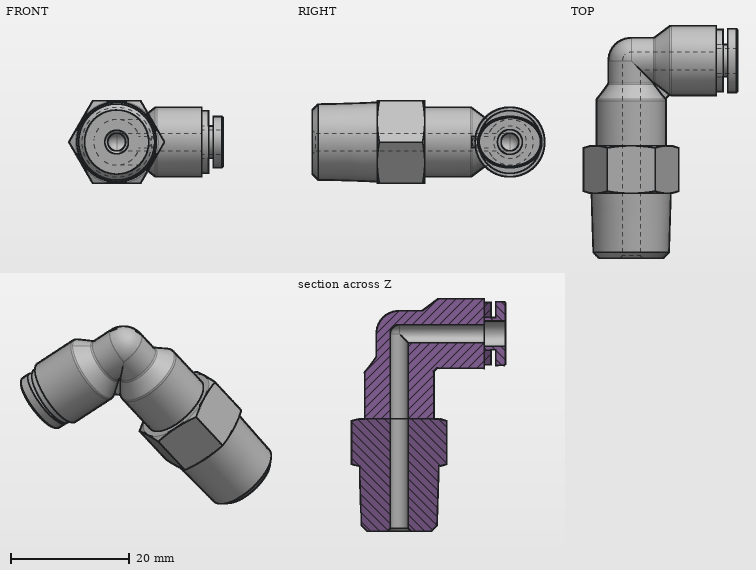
import cadquery as cq
import math


bore_diameter = 3.0
bore_countersink = 0.5
tube_diameter = 4.2

neck_diameter = 7.75
sleeve_diameter = 11.8
cone_start = 3.88
cone_end = 6.57
cone_blend = 0.5
arm_length = 14.4
rib_thickness = 2.0
rib_reach = 12.25

overall_length = 39.3
hex_width = 14.0
hex_length = 8.0
hex_corner_angle = 18.0
thread_tip_diameter = 12.84
thread_taper = 1 / 16
thread_chamfer = 1.0

collar_diameter = 10.6
collar_length = 1.15

button_width = 10.85
button_height = 8.7
button_gap = 0.75
button_end = 18.0
button_edge = 0.25
stem_diameter = 5.5

collar_end = arm_length + collar_length
button_start = collar_end + button_gap
stud_start = -arm_length
hex_end = stud_start - hex_length
stud_end = sleeve_diameter / 2 - overall_length


def x_cylinder(diameter, start, end):
    return cq.Workplane("YZ", origin=(start, 0, 0)).circle(diameter / 2).extrude(end - start)


def toward_stud(arm):
    """Turn a shape lying along +X so that it lies along -Y."""
    return arm.rotate((0, 0, 0), (0, 0, 1), -90)


def ball_corner(arm, diameter):
    """Join an arm along +X and its copy along -Y with a ball at the origin."""
    return arm.union(toward_stud(arm)).union(cq.Workplane("XY").sphere(diameter / 2))


def elbow_arm():
    neck_radius = neck_diameter / 2
    sleeve_radius = sleeve_diameter / 2
    profile = (
        cq.Workplane("XY")
        .lineTo(0, neck_radius)
        .lineTo(cone_start, neck_radius)
        .lineTo(cone_end, sleeve_radius)
        .lineTo(arm_length, sleeve_radius)
        .lineTo(arm_length, 0)
        .close()
    )
    arm = profile.revolve(360, (0, 0, 0), (1, 0, 0))
    cone_edges = arm.edges("%CIRCLE and (not <X) and (not >X)")
    return cone_edges.fillet(cone_blend)


def make_rib():
    """Thin web in the inner corner, filling the gap between the two cones."""
    neck_radius = neck_diameter / 2
    cone_slope = (sleeve_diameter / 2 - neck_radius) / (cone_end - cone_start)
    along_arm = cone_start + (rib_reach - neck_radius - cone_start) / (1 + cone_slope)
    from_axis = rib_reach - along_arm
    return (
        cq.Workplane("XY")
        .polyline([(0, 0), (from_axis, -along_arm), (along_arm, -from_axis)])
        .close()
        .extrude(rib_thickness / 2, both=True)
    )


def make_elbow():
    outside = ball_corner(elbow_arm(), neck_diameter).union(make_rib())
    passage = ball_corner(x_cylinder(bore_diameter, 0, arm_length), bore_diameter)
    return outside.cut(passage)


def hexagon():
    """Hexagon with corners on the X axis and both ends chamfered at the corners."""
    corner_radius = hex_width / 2 / math.cos(math.radians(30))
    flat_radius = hex_width / 2
    chamfer_depth = (corner_radius - flat_radius) * math.tan(math.radians(hex_corner_angle))
    prism = (
        cq.Workplane("XZ", origin=(0, stud_start, 0))
        .polygon(6, 2 * corner_radius)
        .extrude(hex_length)
    )
    chamfer_envelope = (
        cq.Workplane("XY")
        .moveTo(0, stud_start)
        .lineTo(flat_radius, stud_start)
        .lineTo(corner_radius, stud_start - chamfer_depth)
        .lineTo(corner_radius, hex_end + chamfer_depth)
        .lineTo(flat_radius, hex_end)
        .lineTo(0, hex_end)
        .close()
        .revolve(360, (0, 0, 0), (0, 1, 0))
    )
    return prism.intersect(chamfer_envelope)


def tapered_thread():
    chamfer_start = stud_end + thread_chamfer
    tip_radius = thread_tip_diameter / 2
    root_radius = tip_radius + (hex_end - chamfer_start) * thread_taper / 2
    return (
        cq.Workplane("XY")
        .moveTo(0, hex_end)
        .lineTo(root_radius, hex_end)
        .lineTo(tip_radius, chamfer_start)
        .lineTo(tip_radius - thread_chamfer, stud_end)
        .lineTo(0, stud_end)
        .close()
        .revolve(360, (0, 0, 0), (0, 1, 0))
    )


def make_stud():
    outside = hexagon().union(tapered_thread())
    bore = toward_stud(x_cylinder(bore_diameter, arm_length, -stud_end))
    bore_mouth = outside.cut(bore).faces("<Y").edges(cq.selectors.RadiusNthSelector(0))
    return bore_mouth.chamfer(bore_countersink)


def make_collar():
    ring = x_cylinder(collar_diameter, arm_length, collar_end)
    return ring.cut(x_cylinder(stem_diameter, arm_length, collar_end))


def make_release_button():
    """Oval flange on a round stem that passes through the collar to the elbow."""
    flange = (
        cq.Workplane("YZ", origin=(button_start, 0, 0))
        .ellipse(button_width / 2, button_height / 2)
        .extrude(button_end - button_start)
        .faces(">X")
        .edges()
        .chamfer(button_edge)
    )
    stem = x_cylinder(stem_diameter, arm_length, button_start)
    return flange.union(stem).cut(x_cylinder(tube_diameter, arm_length, button_end))


elbow = make_elbow()
stud = make_stud()
collar = make_collar()
release_button = make_release_button()

result = cq.Compound.makeCompound([elbow.val(), stud.val(), collar.val(), release_button.val()])